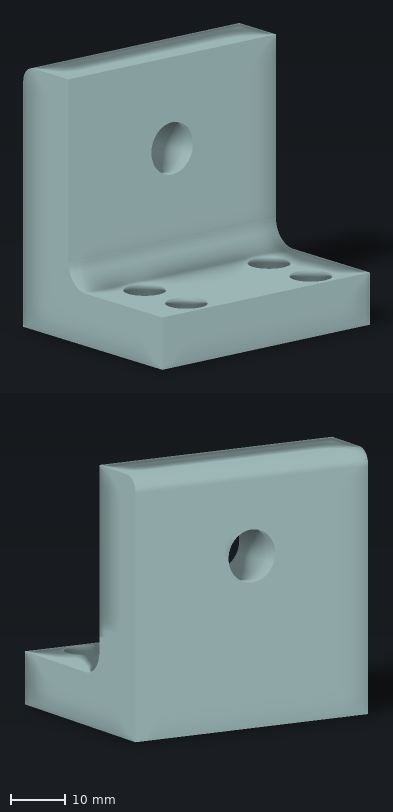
import cadquery as cq

length_x = 40.0
width_y = 50.0
height_z = 50.0

wall_thickness = 13.0
base_thickness = 10.0
inner_fillet_radius = 5.0
top_edge_radius = 3.0

wall_hole_diameter = 10.0
wall_hole_height = 32.5

base_hole_diameter = 8.0
base_hole_spacing_x = 12.0
base_hole_spacing_y = 30.0
base_hole_end_distance = 5.0


def make_angle():
    """L-shaped body with its outer bottom corner at the origin."""
    base = cq.Workplane("XY").box(length_x, width_y, base_thickness, centered=False)
    wall = cq.Workplane("XY").box(wall_thickness, width_y, height_z, centered=False)
    angle = base.union(wall)
    inner_corner = (wall_thickness, width_y / 2, base_thickness)
    angle = angle.edges(cq.NearestToPointSelector(inner_corner)).fillet(inner_fillet_radius)
    top_outer_corner = (0, width_y / 2, height_z)
    return angle.edges(cq.NearestToPointSelector(top_outer_corner)).fillet(top_edge_radius)


def make_wall_hole():
    return (
        cq.Workplane("YZ")
        .center(width_y / 2, wall_hole_height)
        .circle(wall_hole_diameter / 2)
        .extrude(wall_thickness)
    )


def make_base_holes():
    pattern_center_x = length_x - base_hole_end_distance - base_hole_spacing_x / 2
    return (
        cq.Workplane("XY")
        .center(pattern_center_x, width_y / 2)
        .rect(base_hole_spacing_x, base_hole_spacing_y, forConstruction=True)
        .vertices()
        .circle(base_hole_diameter / 2)
        .extrude(base_thickness)
    )


result = make_angle().cut(make_wall_hole()).cut(make_base_holes())